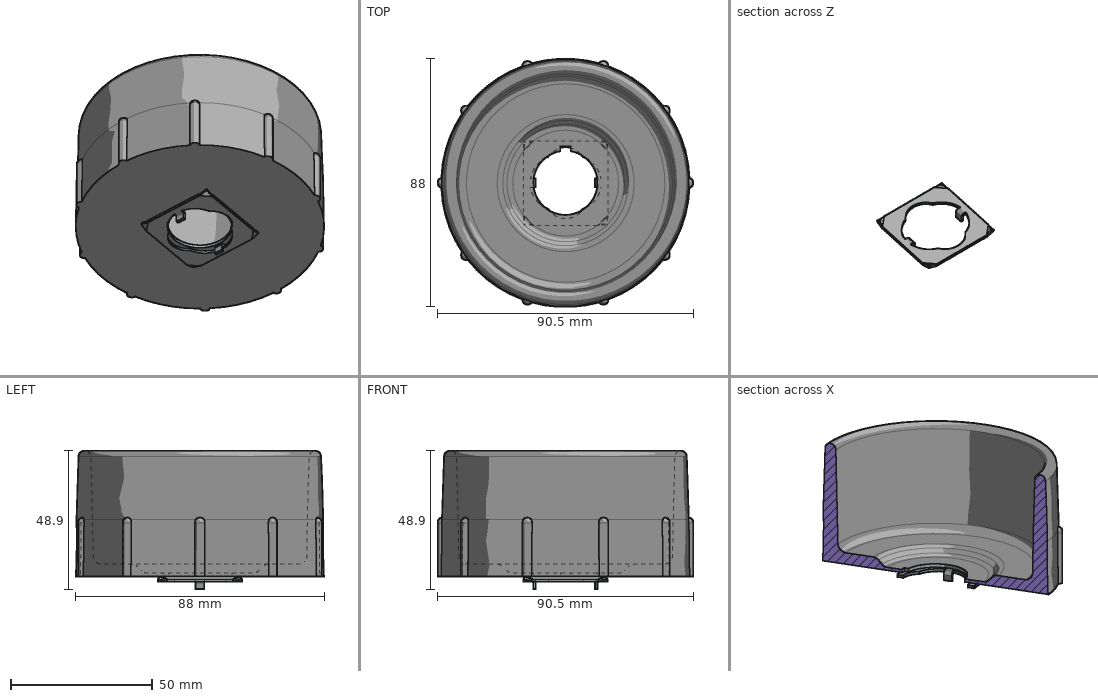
import cadquery as cq
import math

KNOB_HEIGHT = 44.5
BASE_RADIUS = 44.0
WAIST_RADIUS = 43.7
WAIST_Z = 20.3
RIM_Z = 42.5
RIM_OUTER_RADIUS = 43.0
RIM_INNER_RADIUS = 38.6
WALL_FOOT_RADIUS = 37.8
FLOOR_Z = 4.4
FLOOR_RADIUS = 35.1
FLOOR_FILLET_HEIGHT = 3.0

DISH_OUTER_RADIUS = 24.25
DISH_INNER_RADIUS = 18.7
DISH_BEND_RADIUS = 2.9
DISH_SLOPE = math.radians(45)

BORE_RADIUS = 11.3
KEYWAY_WIDTH = 3.6
KEYWAY_TOP = 13.0

RIB_COUNT = 10
RIB_RADIUS = 1.8
RIB_TIP_RADIUS = 45.25
RIB_STRAIGHT_HEIGHT = 19.1

PLATE_HALF_SIDE = 14.9
PLATE_BOTTOM = -1.9
PLATE_THICKNESS = 1.0
PLATE_TOP = PLATE_BOTTOM + PLATE_THICKNESS
OPENING_REACH = 12.6
OPENING_POINT_X = 6.15
OPENING_POINT_Y = 9.1
CORNER_COUNT = 4
CORNER_ANGLE = 25.0

CORNER_RISE = -PLATE_BOTTOM - PLATE_THICKNESS * math.cos(math.radians(CORNER_ANGLE))
CORNER_LENGTH = CORNER_RISE / math.sin(math.radians(CORNER_ANGLE))
CORNER_CUT = CORNER_LENGTH * math.sqrt(2)

TAB_COUNT = 2
TAB_WIDTH = 3.2
TAB_INNER_X = 10.4
TAB_BOTTOM = -4.4
BEND_INNER_RADIUS = 0.4


def make_rib(angle):
    """Round-topped post half sunk in the base wall."""
    post = cq.Workplane("XY").circle(RIB_RADIUS).extrude(RIB_STRAIGHT_HEIGHT)
    dome = cq.Workplane("XY").sphere(RIB_RADIUS).translate((0, 0, RIB_STRAIGHT_HEIGHT))
    rib = post.union(dome).translate((RIB_TIP_RADIUS - RIB_RADIUS, 0, 0))
    return rib.rotate((0, 0, 0), (0, 0, 1), angle)


def make_cup():
    """Cup with tapered wall, round rim, filleted floor and dished centre."""
    bend_run = DISH_BEND_RADIUS * math.sin(DISH_SLOPE)
    bend_drop = DISH_BEND_RADIUS * (1 - math.cos(DISH_SLOPE))
    half_run = DISH_BEND_RADIUS * math.sin(DISH_SLOPE / 2)
    half_drop = DISH_BEND_RADIUS * (1 - math.cos(DISH_SLOPE / 2))
    cone_outer_radius = DISH_OUTER_RADIUS - bend_run
    cone_inner_radius = DISH_INNER_RADIUS + bend_run
    cone_drop = (cone_outer_radius - cone_inner_radius) * math.tan(DISH_SLOPE)
    dish_z = FLOOR_Z - 2 * bend_drop - cone_drop
    rim_mid_radius = (RIM_OUTER_RADIUS + RIM_INNER_RADIUS) / 2

    profile = (
        cq.Workplane("YZ")
        .moveTo(0, 0)
        .lineTo(BASE_RADIUS, 0)
        .lineTo(WAIST_RADIUS, WAIST_Z)
        .lineTo(RIM_OUTER_RADIUS, RIM_Z)
        .threePointArc((rim_mid_radius, KNOB_HEIGHT), (RIM_INNER_RADIUS, RIM_Z))
        .lineTo(WALL_FOOT_RADIUS, FLOOR_Z + FLOOR_FILLET_HEIGHT)
        .tangentArcPoint((FLOOR_RADIUS, FLOOR_Z), relative=False)
        .lineTo(DISH_OUTER_RADIUS, FLOOR_Z)
        .threePointArc(
            (DISH_OUTER_RADIUS - half_run, FLOOR_Z - half_drop),
            (cone_outer_radius, FLOOR_Z - bend_drop),
        )
        .lineTo(cone_inner_radius, dish_z + bend_drop)
        .threePointArc(
            (DISH_INNER_RADIUS + half_run, dish_z + half_drop),
            (DISH_INNER_RADIUS, dish_z),
        )
        .lineTo(0, dish_z)
        .close()
    )
    return profile.revolve(360, (0, 0, 0), (0, 1, 0))


def make_knob():
    """Ribbed cup with the keyed bore through its floor."""
    knob = make_cup()
    for i in range(RIB_COUNT):
        knob = knob.union(make_rib(i * 360 / RIB_COUNT))
    bore = cq.Workplane("XY").circle(BORE_RADIUS).extrude(KNOB_HEIGHT)
    keyway = (
        cq.Workplane("XY")
        .center(0, KEYWAY_TOP / 2)
        .rect(KEYWAY_WIDTH, KEYWAY_TOP)
        .extrude(KNOB_HEIGHT)
    )
    return knob.cut(bore).cut(keyway)


def make_folded_corner():
    """Triangular corner of the plate at +X +Y, folded up about its lower diagonal edge."""
    side = PLATE_HALF_SIDE
    fold = side - CORNER_CUT
    flap = (
        cq.Workplane("XY", origin=(0, 0, PLATE_BOTTOM))
        .polyline([(fold, side), (side, fold), (side, side)])
        .close()
        .extrude(PLATE_THICKNESS)
    )
    return flap.rotate((side, fold, PLATE_BOTTOM), (fold, side, PLATE_BOTTOM), -CORNER_ANGLE)


def make_tab():
    """Tab at +X: a flat root, a quarter bend and a leg pointing down."""
    outer_bend = BEND_INNER_RADIUS + PLATE_THICKNESS
    leg_outer_x = TAB_INNER_X + PLATE_THICKNESS
    bend_x = TAB_INNER_X + outer_bend
    bend_z = PLATE_TOP - outer_bend
    diagonal = math.cos(math.radians(45))
    root_x = (PLATE_HALF_SIDE + OPENING_REACH) / 2
    return (
        cq.Workplane("XZ", origin=(0, TAB_WIDTH / 2, 0))
        .moveTo(TAB_INNER_X, TAB_BOTTOM)
        .lineTo(TAB_INNER_X, bend_z)
        .threePointArc(
            (bend_x - outer_bend * diagonal, bend_z + outer_bend * diagonal),
            (bend_x, PLATE_TOP),
        )
        .lineTo(root_x, PLATE_TOP)
        .lineTo(root_x, PLATE_BOTTOM)
        .lineTo(bend_x, PLATE_BOTTOM)
        .threePointArc(
            (bend_x - BEND_INNER_RADIUS * diagonal, bend_z + BEND_INNER_RADIUS * diagonal),
            (leg_outer_x, bend_z),
        )
        .lineTo(leg_outer_x, TAB_BOTTOM)
        .close()
        .extrude(TAB_WIDTH)
    )


def make_opening():
    """Opening of the plate: four outward arcs that meet in four points."""
    px = OPENING_POINT_X
    py = OPENING_POINT_Y
    return (
        cq.Workplane("XY", origin=(0, 0, PLATE_BOTTOM))
        .moveTo(px, py)
        .threePointArc((0, OPENING_REACH), (-px, py))
        .threePointArc((-OPENING_REACH, 0), (-px, -py))
        .threePointArc((0, -OPENING_REACH), (px, -py))
        .threePointArc((OPENING_REACH, 0), (px, py))
        .close()
        .extrude(PLATE_THICKNESS)
    )


def make_spring_plate():
    """Square plate with four folded corners and two drive tabs."""
    plate = (
        cq.Workplane("XY", origin=(0, 0, PLATE_BOTTOM))
        .rect(2 * PLATE_HALF_SIDE, 2 * PLATE_HALF_SIDE)
        .extrude(PLATE_THICKNESS)
        .edges("|Z")
        .chamfer(CORNER_CUT)
    )
    plate = plate.cut(make_opening())
    corner = make_folded_corner()
    for i in range(CORNER_COUNT):
        plate = plate.union(corner.rotate((0, 0, 0), (0, 0, 1), i * 360 / CORNER_COUNT))
    tab = make_tab()
    for i in range(TAB_COUNT):
        plate = plate.union(tab.rotate((0, 0, 0), (0, 0, 1), i * 360 / TAB_COUNT))
    return plate


knob = make_knob()
spring_plate = make_spring_plate()

result = cq.Compound.makeCompound([knob.solids().val(), spring_plate.solids().val()])